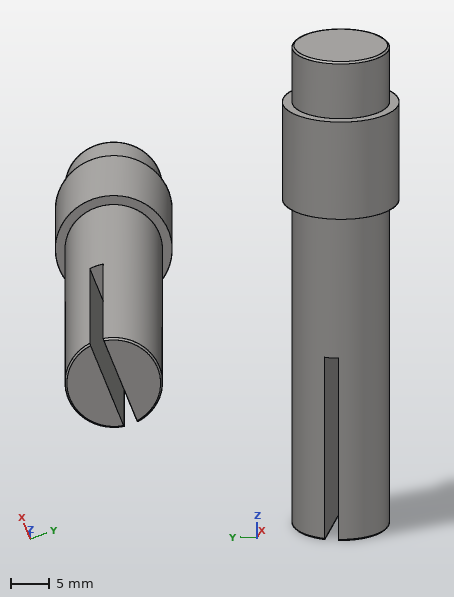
import cadquery as cq

total_length = 66.55
shaft_diameter = 12.7
collar_diameter = 15.25
head_length = 7.85
collar_length = 13.5
end_chamfer = 0.25
slot_width = 1.85
slot_length = 25.4

collar_top = total_length - head_length
collar_bottom = collar_top - collar_length


def make_shaft():
    """Full-length round shaft with both ends chamfered."""
    shaft = cq.Workplane("XY").circle(shaft_diameter / 2).extrude(total_length)
    return shaft.faces("<Z or >Z").chamfer(end_chamfer)


def make_collar():
    """Plain collar below the head of the shaft."""
    plane = cq.Workplane("XY").workplane(offset=collar_bottom)
    return plane.circle(collar_diameter / 2).extrude(collar_length)


def make_slot():
    """Slot cutter through the shaft along X, open at the bottom end."""
    return cq.Workplane("XY").rect(collar_diameter, slot_width).extrude(slot_length)


result = make_shaft().union(make_collar()).cut(make_slot())